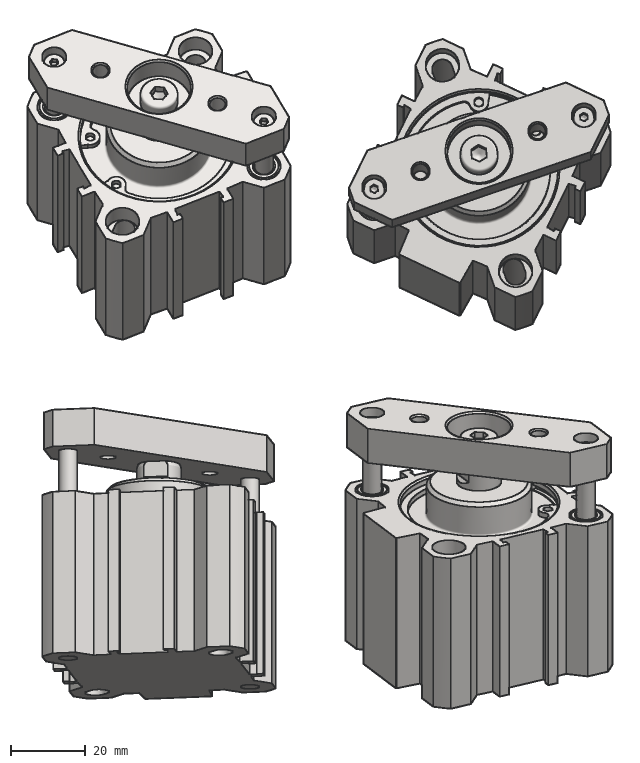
import cadquery as cq
import math

body_height = 44.35
body_width = 55.0
overall_depth = 58.0
total_height = 67.0
corner_pitch = 42.0

body_half = body_width / 2
port_boss_y = overall_depth - body_half
post_flat_outer = 24.05
post_flat_inner = 17.9
notch_x = 13.7
wall_notch = body_half - (post_flat_inner - notch_x)
wall_rail = 23.45
rail_outer = 8.9
rail_inner_root = 6.55
rail_inner_lip = 6.85
rail_lip = 6.0
rail_tip = 27.2
lip_start = 25.45
boss_half_root = 9.5
boss_half_tip = 9.1
boss_corner = 0.3

bore_diameter = 42.2
bore_chamfer = 0.5
groove_diameter = 44.7
corner_bore_diameter = 9.0
corner_bore_depth = 5.6
slot_width = 5.5
slot_shift = 1.2

ring_top_depth = 2.0
ring_thickness = 1.5
ring_inner_diameter = 38.2
ear_distance = 18.4
ear_angle = math.radians(27.7)
ring_turn = -1.8
ear_radius = 2.55
ear_hole_diameter = 2.5
ear_blend = 1.7

cover_diameter = 41.7
cover_thickness = 10.05
collar_diameter = 28.15
collar_top = 50.45
collar_chamfer = 1.0
collar_fillet = 0.6

plate_thickness = 10.1
plate_half = 27.0
plate_width = 20.1
plate_length = 72.2
tapped_hole_offset = 11.7
tapped_hole_diameter = 4.15
tapped_hole_chamfer = 0.435
head_pocket_diameter = 17.0
head_pocket_depth = 7.05
head_pocket_chamfer = 0.5
guide_pocket_diameter = 6.5
guide_pocket_depth = 5.3

rod_diameter = 12.0
rod_end_chamfer_height = 1.15
rod_end_chamfer_width = 0.35
rod_flats = 10.0
rod_flat_bottom = 52.65
rod_neck_diameter = 6.0
rod_head_diameter = 10.0
rod_head_height = 4.15
rod_head_fillet = 0.7
rod_socket_flats = 4.0
rod_socket_depth = 2.0

guide_diameter = 5.0
guide_neck_diameter = 3.0
guide_head_diameter = 5.5
guide_head_height = 3.0
guide_head_fillet = 0.35
guide_socket_flats = 2.0
guide_socket_depth = 1.35
bushing_diameter = 8.8
bushing_outer_chamfer = 0.5
bushing_bore_chamfer = 0.5

guide_offset = corner_pitch / 2
plate_bottom = total_height - plate_thickness
ring_top = body_height - ring_top_depth
cover_face = ring_top - ring_thickness
cover_bottom = cover_face - cover_thickness
bushing_bottom = body_height - corner_bore_depth
guide_points = [(guide_offset, guide_offset), (-guide_offset, -guide_offset)]
mount_points = [(-guide_offset, guide_offset), (guide_offset, -guide_offset)]


def cylinder(diameter, bottom, top, center=(0, 0)):
    disc = cq.Workplane("XY").workplane(offset=bottom).center(*center).circle(diameter / 2)
    return disc.extrude(top - bottom)


def cone(bottom_diameter, top_diameter, bottom, top, center=(0, 0)):
    base = cq.Workplane("XY").workplane(offset=bottom).center(*center).circle(bottom_diameter / 2)
    return base.workplane(offset=top - bottom).circle(top_diameter / 2).loft(ruled=True)


def rotated(points, quarter_turns):
    for _ in range(quarter_turns):
        points = [(-y, x) for x, y in points]
    return points


def rail_side():
    """Points of a railed side, drawn at -Y, from the left post to the right post."""
    left = [
        (-post_flat_inner, -body_half),
        (-notch_x, -wall_notch),
        (-rail_outer, -wall_rail),
        (-rail_outer, -rail_tip),
        (-rail_lip, -rail_tip),
        (-rail_lip, -lip_start),
        (-rail_inner_lip, -lip_start),
        (-rail_inner_root, -wall_rail),
    ]
    return left + [(-x, y) for x, y in reversed(left)]


def boss_side():
    """Points of the +Y side, from the right post to the left post."""
    right = [
        (post_flat_inner, body_half),
        (notch_x, wall_notch),
        (boss_half_root, wall_rail),
        (boss_half_tip, port_boss_y - boss_corner),
        (boss_half_tip - boss_corner, port_boss_y),
    ]
    return right + [(-x, y) for x, y in reversed(right)]


def housing_outline():
    sides = [rail_side(), rotated(rail_side(), 1), boss_side(), rotated(rail_side(), 3)]
    corner_mid = math.hypot(post_flat_outer, body_half) / math.sqrt(2)
    outline = cq.Workplane("XY").moveTo(-post_flat_outer, -body_half)
    for turn, side in enumerate(sides):
        for point in side:
            outline = outline.lineTo(*point)
        start, middle, end = rotated(
            [(post_flat_outer, -body_half), (corner_mid, -corner_mid), (body_half, -post_flat_outer)],
            turn,
        )
        outline = outline.lineTo(*start).threePointArc(middle, end)
    return outline.close()


def mounting_slot(center):
    """Through slot from a corner hole's axis toward the housing axis."""
    x, y = center
    middle_x = x - math.copysign(slot_shift / 2, x)
    middle_y = y - math.copysign(slot_shift / 2, y)
    return (
        cq.Workplane("XY")
        .center(middle_x, middle_y)
        .transformed(rotate=(0, 0, math.degrees(math.atan2(y, x))))
        .slot2D(slot_shift * math.sqrt(2) + slot_width, slot_width)
        .extrude(body_height)
    )


def make_housing():
    housing = housing_outline().extrude(body_height)
    housing = housing.cut(cylinder(bore_diameter, cover_bottom, body_height))
    housing = housing.cut(cylinder(groove_diameter, cover_face, ring_top))
    rim = bore_diameter + 2 * bore_chamfer
    housing = housing.cut(cone(bore_diameter, rim, body_height - bore_chamfer, body_height))
    for point in guide_points + mount_points:
        housing = housing.cut(cylinder(corner_bore_diameter, bushing_bottom, body_height, point))
    for point in mount_points:
        housing = housing.cut(mounting_slot(point))
    for point in guide_points:
        housing = housing.cut(cylinder(guide_diameter, 0, body_height, point))
    return housing


def make_retaining_ring():
    ear_x = ear_distance * math.sin(ear_angle)
    ear_y = -ear_distance * math.cos(ear_angle)

    flank_angle = ear_angle - math.asin(ear_radius / ear_distance)
    reach = groove_diameter
    gap = (
        cq.Workplane("XY")
        .workplane(offset=cover_face)
        .polyline([
            (0, 0),
            (-reach * math.tan(flank_angle), -reach),
            (reach * math.tan(flank_angle), -reach),
        ])
        .close()
        .extrude(ring_thickness)
    )
    ring = cylinder(groove_diameter, cover_face, ring_top)
    ring = ring.cut(cylinder(ring_inner_diameter, cover_face, ring_top)).cut(gap)
    ears = [(-ear_x, ear_y), (ear_x, ear_y)]
    for ear in ears:
        ring = ring.union(cylinder(2 * ear_radius, cover_face, ring_top, ear))

    inner_radius = ring_inner_diameter / 2
    spread = math.acos(
        (ear_distance**2 + inner_radius**2 - ear_radius**2) / (2 * ear_distance * inner_radius)
    )
    blend_x = inner_radius * math.sin(ear_angle + spread)
    blend_y = -inner_radius * math.cos(ear_angle + spread)
    for x in (-blend_x, blend_x):
        corner = cq.selectors.NearestToPointSelector((x, blend_y, ring_top - ring_thickness / 2))
        ring = ring.edges("|Z").edges(corner).fillet(ear_blend)
    for ear in ears:
        ring = ring.cut(cylinder(ear_hole_diameter, cover_face, ring_top, ear))
    return ring.rotate((0, 0, 0), (0, 0, 1), ring_turn)


def make_cover():
    cover = cylinder(cover_diameter, cover_bottom, cover_face)
    collar = cylinder(collar_diameter, cover_face, collar_top).faces(">Z").chamfer(collar_chamfer)
    cover = cover.union(collar)
    collar_root = cq.selectors.RadiusNthSelector(0)
    seat = cq.selectors.NearestToPointSelector((0, 0, cover_face))
    cover = cover.faces(seat).edges(collar_root).fillet(collar_fillet)
    return cover.cut(cylinder(rod_diameter, cover_bottom, collar_top))


def make_tie_plate():
    strip = (
        cq.Workplane("XY")
        .workplane(offset=plate_bottom)
        .transformed(rotate=(0, 0, 45))
        .rect(plate_length, plate_width)
        .extrude(plate_thickness)
    )
    square = (
        cq.Workplane("XY")
        .workplane(offset=plate_bottom)
        .rect(2 * plate_half, 2 * plate_half)
        .extrude(plate_thickness)
    )
    plate = strip.intersect(square)

    pocket_floor = total_height - head_pocket_depth
    plate = plate.cut(cylinder(head_pocket_diameter, pocket_floor, total_height))
    rim = head_pocket_diameter + 2 * head_pocket_chamfer
    plate = plate.cut(cone(head_pocket_diameter, rim, total_height - head_pocket_chamfer, total_height))
    plate = plate.cut(cylinder(rod_neck_diameter, plate_bottom, total_height))

    rim = tapped_hole_diameter + 2 * tapped_hole_chamfer
    for side in (-1, 1):
        spot = (side * tapped_hole_offset, side * tapped_hole_offset)
        plate = plate.cut(cylinder(tapped_hole_diameter, plate_bottom, total_height, spot))
        plate = plate.cut(
            cone(tapped_hole_diameter, rim, total_height - tapped_hole_chamfer, total_height, spot)
        )

    for point in guide_points:
        pocket = cylinder(guide_pocket_diameter, total_height - guide_pocket_depth, total_height, point)
        plate = plate.cut(pocket).cut(cylinder(guide_neck_diameter, plate_bottom, total_height, point))
    return plate


def hex_socket(flats, depth, top, center):
    """Hexagonal recess whose floor is a shallow cone."""
    corners = flats / math.cos(math.pi / 6)
    tip_depth = corners / 2 * math.tan(math.pi / 6)
    hexagon = (
        cq.Workplane("XY")
        .workplane(offset=top - depth - tip_depth)
        .center(*center)
        .polygon(6, corners)
        .extrude(depth + tip_depth)
    )
    tip = cq.Workplane("XY").add(
        cq.Solid.makeCone(
            0, corners / 2, tip_depth, pnt=cq.Vector(center[0], center[1], top - depth - tip_depth)
        )
    )
    return hexagon.intersect(tip.union(cylinder(corners, top - depth, top, center)))


def make_socket_head(diameter, height, fillet, flats, depth, bottom, center=(0, 0)):
    top = bottom + height
    head = cylinder(diameter, bottom, top, center).faces(">Z").edges().fillet(fillet)
    return head.cut(hex_socket(flats, depth, top, center))


def rod_flat_cutter():
    """Prism that leaves one flat with a 45 degree run-out at its lower end."""
    flat = rod_flats / 2
    reach = rod_diameter
    return (
        cq.Workplane("YZ")
        .polyline([
            (flat, plate_bottom),
            (flat, rod_flat_bottom),
            (flat + reach, rod_flat_bottom - reach),
            (flat + reach, plate_bottom),
        ])
        .close()
        .extrude(rod_diameter, both=True)
    )


def make_piston_rod():
    rod = cylinder(rod_diameter, cover_bottom, plate_bottom)
    rod = rod.faces(">Z").chamfer(rod_end_chamfer_height, rod_end_chamfer_width)
    cutter = rod_flat_cutter()
    rod = rod.cut(cutter).cut(cutter.mirror("XZ"))
    head_bottom = total_height - head_pocket_depth
    head = make_socket_head(
        rod_head_diameter, rod_head_height, rod_head_fillet,
        rod_socket_flats, rod_socket_depth, head_bottom,
    )
    return rod.union(cylinder(rod_neck_diameter, plate_bottom, head_bottom)).union(head)


def make_guide_rod(center):
    head_bottom = total_height - guide_pocket_depth
    head = make_socket_head(
        guide_head_diameter, guide_head_height, guide_head_fillet,
        guide_socket_flats, guide_socket_depth, head_bottom, center,
    )
    rod = cylinder(guide_diameter, 0, plate_bottom, center)
    return rod.union(cylinder(guide_neck_diameter, plate_bottom, head_bottom, center)).union(head)


def make_bushing(center):
    top = body_height
    bushing = cylinder(bushing_diameter, bushing_bottom, top, center)
    bushing = bushing.faces(">Z").chamfer(bushing_outer_chamfer)
    bushing = bushing.cut(cylinder(guide_diameter, bushing_bottom, top, center))
    rim = guide_diameter + 2 * bushing_bore_chamfer
    return bushing.cut(cone(guide_diameter, rim, top - bushing_bore_chamfer, top, center))


housing = make_housing()
retaining_ring = make_retaining_ring()
cover = make_cover()
tie_plate = make_tie_plate()
piston_rod = make_piston_rod()
guide_rods = [make_guide_rod(point) for point in guide_points]
bushings = [make_bushing(point) for point in guide_points]

single_bodies = [housing, retaining_ring, cover, tie_plate, piston_rod]
result = cq.Compound.makeCompound([body.val() for body in single_bodies + guide_rods + bushings])